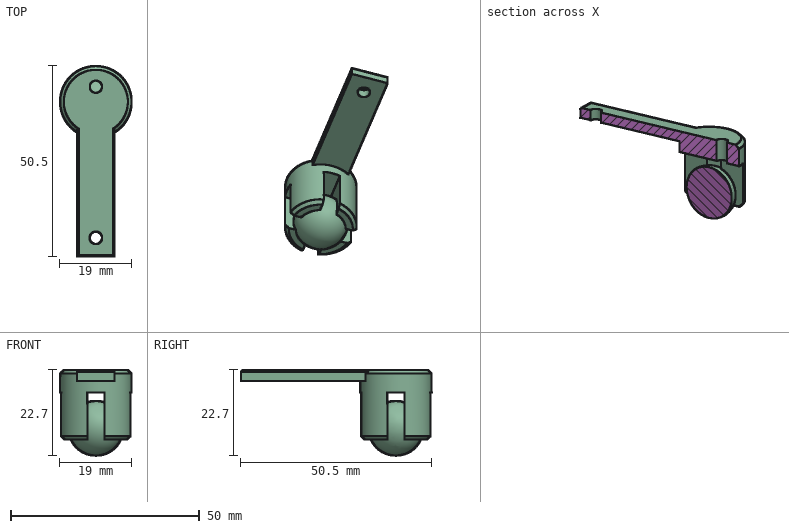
import cadquery as cq

head_diameter = 19.0
head_radius = head_diameter / 2
head_height = 18.5
head_chamfer = 1.0

overall_length = 50.5
handle_width = 10.0
handle_thickness = 3.0
handle_chamfer = 0.5
handle_end_y = head_radius - overall_length

hole_diameter = 3.25
head_hole_y = 4.0
handle_hole_y = handle_end_y + 5.0

slot_width = 4.5
slot_top_z = -6.0

overall_height = 22.7
ball_radius = 7.25
ball_center_z = ball_radius - overall_height


def make_ball():
    return cq.Workplane("XY").sphere(ball_radius).translate((0, 0, ball_center_z))


def make_head():
    return (
        cq.Workplane("XY")
        .circle(head_radius)
        .extrude(-head_height)
        .faces("<Z or >Z")
        .chamfer(head_chamfer)
    )


def make_handle():
    length = -handle_end_y
    return (
        cq.Workplane("XY")
        .box(handle_width, length, handle_thickness, centered=(True, False, False))
        .translate((0, handle_end_y, -handle_thickness))
        .edges(">Z and (<X or >X or <Y)")
        .chamfer(handle_chamfer)
    )


def make_slots():
    slot_height = head_height + slot_top_z
    slot = (
        cq.Workplane("XY")
        .workplane(offset=slot_top_z)
        .rect(slot_width, head_diameter)
        .extrude(-slot_height)
    )
    return slot.union(slot.rotate((0, 0, 0), (0, 0, 1), 90))


def make_hole(y, depth):
    return cq.Workplane("XY").center(0, y).circle(hole_diameter / 2).extrude(-depth)


def make_housing():
    housing = make_head().union(make_handle()).cut(make_slots())
    housing = housing.cut(make_ball())
    housing = housing.cut(make_hole(head_hole_y, -ball_center_z))
    return housing.cut(make_hole(handle_hole_y, handle_thickness))


housing = make_housing()
ball = make_ball()

result = cq.Compound.makeCompound([housing.val(), ball.val()])